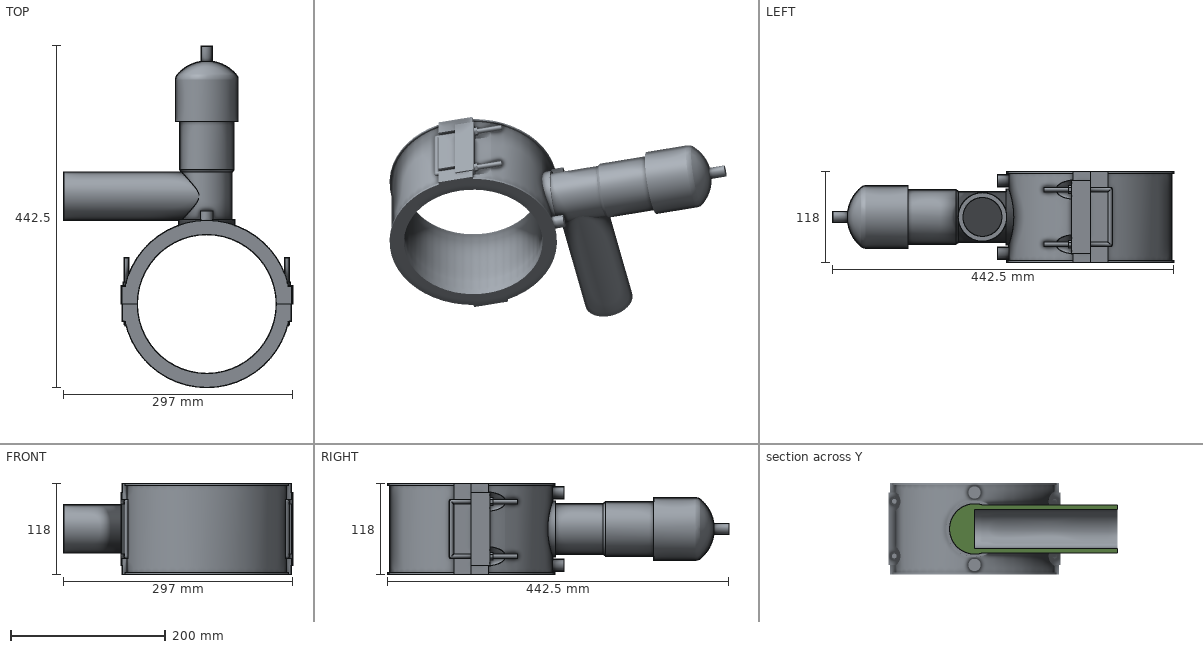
import cadquery as cq
import math

BORE_RADIUS = 90.0
RING_RADIUS = 105.7
RIM_RADIUS = 108.5
RIM_THICKNESS = 2.5
HEIGHT = 118.0
MAX_LENGTH = 442.5

EAR_REACH = 109.7
EAR_LENGTH = 22.5
PLATE_THICKNESS = 1.8
PLATE_REACH = EAR_REACH + PLATE_THICKNESS
PLATE_TOP = EAR_LENGTH + PLATE_THICKNESS
PLATE_INNER_X = 98.5
PLATE_HEIGHT = 94.2

BOLT_X = 104.0
BOLT_Z = 35.5
BOLT_DIAMETER = 6.0
LEG_TOP = 60.0
BOLT_BAR_Y = -25.5
NUT_CORNER_DIAMETER = 10.0
NUT_HEIGHT = 4.0
POCKET_X = 110.5
POCKET_RADIUS = 14.5

COLLAR_DIAMETER = 73.0
COLLAR_TOP = 109.5
NECK_DIAMETER = 66.0
CONE_START = 171.0
CONE_END = 174.5
SLEEVE_DIAMETER = 71.0
CAP_DIAMETER = 81.5
CAP_START = 236.3
DOME_RADIUS = 50.0
DOME_TOP = 315.0
CAP_EDGE_FILLET = 9.7
SPINDLE_DIAMETER = 14.5
SPINDLE_TOP = MAX_LENGTH - RIM_RADIUS

BRANCH_DIAMETER = 63.0
BRANCH_BORE = 50.5
BRANCH_Y = 140.0
BRANCH_END_X = -185.5

PEG_DIAMETER = 16.0
PEG_Z = 47.0
PEG_TOP = 120.5

SIDES = (-1, 1)


def cylinder_y(diameter, x, z, y_start, y_end):
    """Cylinder along Y between two Y positions."""
    start = cq.Vector(x, y_start, z)
    return cq.Workplane(cq.Solid.makeCylinder(diameter / 2, y_end - y_start, start, cq.Vector(0, 1, 0)))


def box_between(x_range, y_range, height):
    """Box between two X and two Y positions, centred on Z = 0."""
    x_size = x_range[1] - x_range[0]
    y_size = y_range[1] - y_range[0]
    x_mid = sum(x_range) / 2
    y_mid = sum(y_range) / 2
    return cq.Workplane("XY").box(x_size, y_size, height).translate((x_mid, y_mid, 0))


def mirrored_pair(shape):
    """The shape on the +X side together with its copy on the -X side."""
    return shape.union(shape.mirror("YZ"))


def ring_disc(radius, height):
    """Disc about the ring axis, centred on Z = 0."""
    return cq.Workplane("XY").cylinder(height, radius)


def half_ring(side):
    """Solid half ring with rims and ears; side is +1 for Y > 0 and -1 for Y < 0."""
    rim_offset = (HEIGHT - RIM_THICKNESS) / 2
    rim = ring_disc(RIM_RADIUS, RIM_THICKNESS)
    body = ring_disc(RING_RADIUS, HEIGHT)
    for end in SIDES:
        body = body.union(rim.translate((0, 0, end * rim_offset)))
    ears = cq.Workplane("XY").box(2 * EAR_REACH, 2 * EAR_LENGTH, HEIGHT)
    half_space = cq.Workplane("XY").box(4 * RIM_RADIUS, 2 * RIM_RADIUS, HEIGHT)
    return body.union(ears).intersect(half_space.translate((0, side * RIM_RADIUS, 0)))


def bolt_pockets():
    """Round recesses in the ring that give room for the nuts."""
    pockets = cq.Workplane("XY")
    for end in SIDES:
        pockets = pockets.add(
            cylinder_y(2 * POCKET_RADIUS, POCKET_X, end * BOLT_Z, EAR_LENGTH, RING_RADIUS)
        )
    return mirrored_pair(pockets.combine())


def plates():
    """Plates that cover the outer face and the top face of the upper ears."""
    return mirrored_pair(box_between((PLATE_INNER_X, PLATE_REACH), (0, PLATE_TOP), PLATE_HEIGHT))


def u_bolts():
    """Two legs joined by a bar, with ball-shaped corners, on each side."""
    bolt = cq.Workplane("XY").cylinder(2 * BOLT_Z, BOLT_DIAMETER / 2)
    bolt = bolt.translate((BOLT_X, BOLT_BAR_Y, 0))
    for end in SIDES:
        leg = cylinder_y(BOLT_DIAMETER, BOLT_X, end * BOLT_Z, BOLT_BAR_Y, LEG_TOP)
        corner = cq.Workplane("XY").sphere(BOLT_DIAMETER / 2)
        bolt = bolt.union(leg).union(corner.translate((BOLT_X, BOLT_BAR_Y, end * BOLT_Z)))
    return mirrored_pair(bolt)


def nuts():
    """Hexagon nuts on the plates, each with a flat facing outwards."""
    centres = [(x * BOLT_X, z * BOLT_Z) for x in SIDES for z in SIDES]
    face = cq.Workplane("XZ", origin=(0, PLATE_TOP, 0)).pushPoints(centres)
    hexagon = cq.Sketch().regularPolygon(NUT_CORNER_DIAMETER / 2, 6)
    return face.placeSketch(hexagon).extrude(-NUT_HEIGHT)


def leg_slots():
    """Slots that open the bolt legs to the outer faces of the lower ears."""
    slots = cq.Workplane("XY")
    for end in SIDES:
        slot = box_between((BOLT_X, EAR_REACH), (-EAR_LENGTH, 0), BOLT_DIAMETER)
        slots = slots.add(slot.translate((0, 0, end * BOLT_Z)))
    return mirrored_pair(slots.combine())


def tower():
    """Collar, neck, sleeve, domed cap and spindle, turned about the Y axis."""
    cap_radius = CAP_DIAMETER / 2
    dome_centre = DOME_TOP - DOME_RADIUS
    dome_edge = dome_centre + math.sqrt(DOME_RADIUS**2 - cap_radius**2)
    mid_radius = cap_radius / 2
    dome_middle = dome_centre + math.sqrt(DOME_RADIUS**2 - mid_radius**2)
    body = (
        cq.Workplane("XY")
        .lineTo(COLLAR_DIAMETER / 2, 0)
        .lineTo(COLLAR_DIAMETER / 2, COLLAR_TOP)
        .lineTo(NECK_DIAMETER / 2, COLLAR_TOP)
        .lineTo(NECK_DIAMETER / 2, CONE_START)
        .lineTo(SLEEVE_DIAMETER / 2, CONE_END)
        .lineTo(SLEEVE_DIAMETER / 2, CAP_START)
        .lineTo(cap_radius, CAP_START)
        .lineTo(cap_radius, dome_edge)
        .threePointArc((mid_radius, dome_middle), (0, DOME_TOP))
        .close()
        .revolve(360, (0, 0), (0, 1))
    )
    cap_edge = cq.selectors.NearestToPointSelector((0, dome_edge, 0))
    body = body.edges(cap_edge).fillet(CAP_EDGE_FILLET)
    return body.union(cylinder_y(SPINDLE_DIAMETER, 0, 0, dome_centre, SPINDLE_TOP))


def branch_cylinder(diameter):
    """Cylinder from the free end of the branch pipe to the tower axis."""
    start = cq.Vector(BRANCH_END_X, BRANCH_Y, 0)
    return cq.Workplane(cq.Solid.makeCylinder(diameter / 2, -BRANCH_END_X, start, cq.Vector(1, 0, 0)))


def pegs():
    """Two round pegs that stand out of the ring along Y."""
    pair = cq.Workplane("XY")
    for end in SIDES:
        pair = pair.add(cylinder_y(PEG_DIAMETER, 0, end * PEG_Z, BORE_RADIUS, PEG_TOP))
    return pair.combine()


def make_saddle():
    """Upper half ring with tower, branch pipe, pegs, plates and bolts."""
    body = half_ring(1).cut(bolt_pockets()).union(plates()).union(tower()).union(pegs())
    body = body.union(branch_cylinder(BRANCH_DIAMETER)).cut(branch_cylinder(BRANCH_BORE))
    body = body.cut(ring_disc(BORE_RADIUS, HEIGHT))
    return body.union(nuts()).union(u_bolts())


def make_lower_clamp():
    """Lower half ring, slotted for the bolt legs and relieved where the bolts lie in it."""
    body = half_ring(-1).cut(ring_disc(BORE_RADIUS, HEIGHT))
    return body.cut(leg_slots()).cut(u_bolts())


saddle = make_saddle()
lower_clamp = make_lower_clamp()

result = cq.Compound.makeCompound([saddle.solids().val(), lower_clamp.solids().val()])